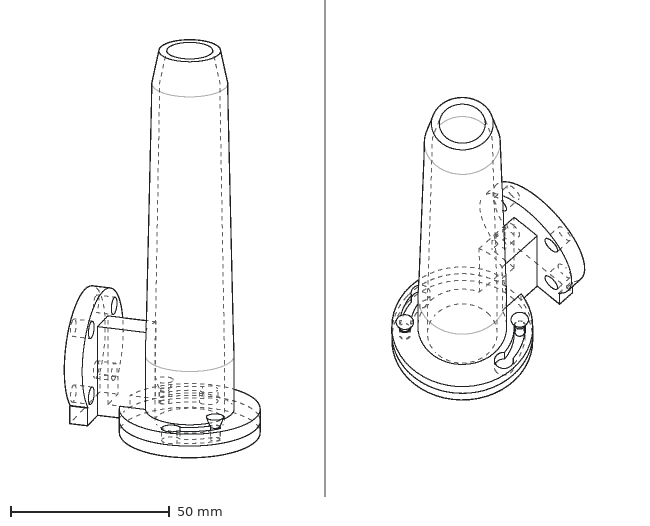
import cadquery as cq
import math

flange_diameter = 44.5
flange_thickness = 4.0
flange_joint_z = flange_thickness
flange_top_z = flange_joint_z + flange_thickness

pipe_base_diameter = 28.0
pipe_shoulder_diameter = 24.0
pipe_tip_diameter = 19.5
bore_base_diameter = 22.0
bore_shoulder_diameter = 19.0
bore_tip_diameter = 14.5
pipe_taper_start_z = 26.0
pipe_shoulder_z = 118.0
pipe_top_z = 129.0

pin_circle_radius = (pipe_base_diameter + flange_diameter) / 4
pin_angles = (135.0, 315.0)
slot_sweep = 45.0
pin_shank_diameter = 3.0
pin_head_diameter = 5.5
pin_head_height = 3.25
pin_head_clearance = 0.25
pin_head_start_z = flange_top_z + pin_head_clearance
pin_top_z = pin_head_start_z + pin_head_height
slot_width = 3.5
slot_entry_diameter = 6.0

plate_outer_x = -35.0
plate_thickness = 6.0
plate_diameter = 40.0
plate_inner_x = plate_outer_x + plate_thickness
plate_center_z = flange_joint_z + plate_diameter / 2
arm_width = 10.0
arm_height = 30.0
foot_width = 29.5
foot_height = 6.0
bolt_hole_diameter = 5.5
bolt_spacing = 22.25


def polar_point(radius, angle):
    """XY point at an angle in degrees about the pipe axis."""
    return (radius * math.cos(math.radians(angle)), radius * math.sin(math.radians(angle)))


def make_pin(angle):
    """Cylindrical shank under a conical head that widens to a flat top."""
    shank_radius = pin_shank_diameter / 2
    profile = [
        (0, 0),
        (shank_radius, 0),
        (shank_radius, pin_head_start_z),
        (pin_head_diameter / 2, pin_top_z),
        (0, pin_top_z),
    ]
    pin = cq.Workplane("XZ").polyline(profile).close().revolve(360, (0, 0), (0, 1))
    x, y = polar_point(pin_circle_radius, angle)
    return pin.translate((x, y, 0))


def make_base():
    """Round base disc carrying the bayonet pins."""
    base = cq.Workplane("XY").circle(flange_diameter / 2).extrude(flange_thickness)
    for angle in pin_angles:
        base = base.union(make_pin(angle))
    return base


def flange_plane():
    """Fresh XY workplane at the joint between the two flanges."""
    return cq.Workplane("XY").workplane(offset=flange_joint_z)


def flange_disc(diameter, center=(0, 0)):
    """Disc as thick as the pipe flange, standing on the flange joint."""
    return flange_plane().moveTo(*center).circle(diameter / 2).extrude(flange_thickness)


def make_slot_cutter(pin_angle):
    """Arc slot with a rounded end at the pin and a larger entry hole at the other end."""
    inner_radius = pin_circle_radius - slot_width / 2
    outer_radius = pin_circle_radius + slot_width / 2
    entry_angle = pin_angle - slot_sweep
    middle_angle = pin_angle - slot_sweep / 2
    arc = (
        flange_plane()
        .moveTo(*polar_point(outer_radius, entry_angle))
        .threePointArc(polar_point(outer_radius, middle_angle), polar_point(outer_radius, pin_angle))
        .lineTo(*polar_point(inner_radius, pin_angle))
        .threePointArc(polar_point(inner_radius, middle_angle), polar_point(inner_radius, entry_angle))
        .close()
        .extrude(flange_thickness)
    )
    pin_end = flange_disc(slot_width, polar_point(pin_circle_radius, pin_angle))
    entry = flange_disc(slot_entry_diameter, polar_point(pin_circle_radius, entry_angle))
    return arc.union(pin_end).union(entry)


def make_tapered_core(base_diameter, shoulder_diameter, tip_diameter):
    """Cylinder, long taper and short nose taper, standing on the flange joint."""
    profile = [
        (0, flange_joint_z),
        (base_diameter / 2, flange_joint_z),
        (base_diameter / 2, pipe_taper_start_z),
        (shoulder_diameter / 2, pipe_shoulder_z),
        (tip_diameter / 2, pipe_top_z),
        (0, pipe_top_z),
    ]
    return cq.Workplane("XZ").polyline(profile).close().revolve(360, (0, 0), (0, 1))


def make_side_mount():
    """Arm from the pipe axis out to the round mounting plate and its foot."""
    arm = cq.Workplane("XY").box(
        -plate_inner_x, arm_width, arm_height, centered=(False, True, False)
    ).translate((plate_inner_x, 0, flange_joint_z))
    foot = cq.Workplane("XY").box(
        plate_thickness, foot_width, foot_height, centered=(False, True, False)
    ).translate((plate_outer_x, 0, flange_joint_z))
    plate_plane = cq.Workplane("YZ", origin=(plate_outer_x, 0, plate_center_z))
    plate = plate_plane.circle(plate_diameter / 2).extrude(plate_thickness)
    bolt_holes = (
        plate_plane.rect(bolt_spacing, bolt_spacing, forConstruction=True)
        .vertices()
        .circle(bolt_hole_diameter / 2)
        .extrude(plate_thickness)
    )
    return arm.union(plate).union(foot).cut(bolt_holes)


def make_pipe():
    """Tapered pipe with its slotted flange and side mount, bored through along Z."""
    outside = make_tapered_core(pipe_base_diameter, pipe_shoulder_diameter, pipe_tip_diameter)
    bore = make_tapered_core(bore_base_diameter, bore_shoulder_diameter, bore_tip_diameter)
    pipe = outside.union(flange_disc(flange_diameter)).union(make_side_mount()).cut(bore)
    for angle in pin_angles:
        pipe = pipe.cut(make_slot_cutter(angle))
    return pipe


base = make_base()
pipe = make_pipe()
result = cq.Compound.makeCompound([base.val(), pipe.val()])